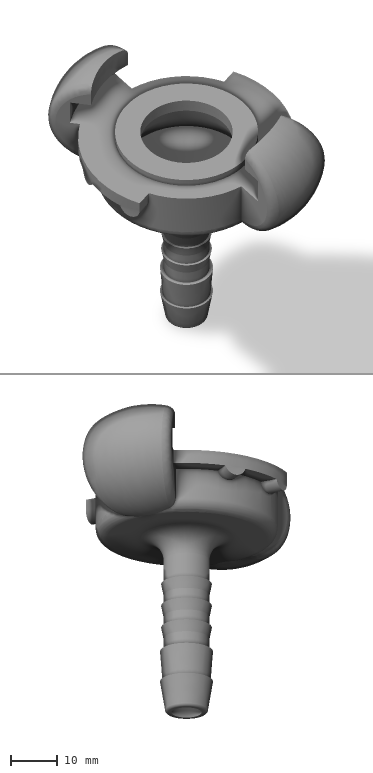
import cadquery as cq
import math

body_radius = 19.7
body_bottom = 39.95
body_top = 52.0
body_bottom_fillet = 2.3
seal_ring_radius = 31.0 / 2
seal_ring_top = 53.7

stem_radius = 5.0
neck_fillet = 5.0
small_barb_radius = 5.5
small_barb_length = 2.55
small_barb_pitch = 5.0
first_barb_top = 29.45
small_barb_count = 3
large_barb_radius = 5.75
large_barb_top = 14.0
large_barb_length = 6.9
large_barb_root_radius = 5.25
tip_radius = 4.65
tip_fillet = 0.65

bore_radius = 3.25
mouth_radius = 20.0 / 2
mouth_bottom = 50.75
chamber_radius = 14.25
chamber_bottom = 42.4
chamber_wall_bulge = 0.45
funnel_bottom = 39.0

flange_radius = 47.0 / 2
flange_thickness = 3.0
lug_radius = 2.5
lug_axis_z = 49.7
lug_spacing = 35.0

overall_width = 62.95
claw_half_angle = 21.2
claw_axis_x = 19.35
claw_axis_z = 51.8
claw_radius = overall_width / 2 - claw_axis_x
claw_crown_radius = 22.4
claw_side_fillet = 1.9
claw_root_radius = 16.0
claw_tip_inner_radius = 21.0
claw_slot_radius = 25.7
claw_slot_top = 57.95
claw_blank_radius = 38.35
claw_blank_half_width = 15.35


def cylinder(radius, bottom, top):
    return cq.Workplane("XY").workplane(offset=bottom).circle(radius).extrude(top - bottom)


def polar(radius, degrees):
    angle = math.radians(degrees)
    return radius * math.cos(angle), radius * math.sin(angle)


def sector(inner_radius, outer_radius, start, end, bottom, top):
    """Part of a ring between two angles in degrees."""
    middle = (start + end) / 2
    return (
        cq.Workplane("XY")
        .workplane(offset=bottom)
        .moveTo(*polar(inner_radius, start))
        .lineTo(*polar(outer_radius, start))
        .threePointArc(polar(outer_radius, middle), polar(outer_radius, end))
        .lineTo(*polar(inner_radius, end))
        .threePointArc(polar(inner_radius, middle), polar(inner_radius, start))
        .close()
        .extrude(top - bottom)
    )


def make_head():
    head = cylinder(body_radius, body_bottom, body_top)
    head = head.faces("<Z").edges().fillet(body_bottom_fillet)
    return head.union(cylinder(seal_ring_radius, body_top, seal_ring_top))


def make_tail():
    """Barbed stem, running into the head through a concave neck."""
    large_barb_bottom = large_barb_top - large_barb_length
    neck_bottom = body_bottom - neck_fillet
    neck_radius = stem_radius + neck_fillet
    mid_offset = neck_fillet * (1 - math.sqrt(0.5))
    profile = (
        cq.Workplane("XZ")
        .moveTo(0, 0)
        .lineTo(tip_radius - tip_fillet, 0)
        .radiusArc((tip_radius, tip_fillet), -tip_fillet)
        .lineTo(large_barb_radius, large_barb_bottom)
        .lineTo(large_barb_root_radius, large_barb_bottom)
        .lineTo(large_barb_radius, large_barb_top)
        .lineTo(stem_radius, large_barb_top)
    )
    for index in reversed(range(small_barb_count)):
        barb_top = first_barb_top - index * small_barb_pitch
        profile = (
            profile.lineTo(stem_radius, barb_top - small_barb_length)
            .lineTo(small_barb_radius, barb_top)
            .lineTo(stem_radius, barb_top)
        )
    return (
        profile.lineTo(stem_radius, neck_bottom)
        .threePointArc((stem_radius + mid_offset, body_bottom - mid_offset), (neck_radius, body_bottom))
        .lineTo(neck_radius, chamber_bottom)
        .lineTo(0, chamber_bottom)
        .close()
        .revolve(360, (0, 0, 0), (0, 1, 0))
    )


def make_passage():
    """Through bore, funnel and undercut seal chamber, as a solid to remove."""
    run = chamber_radius - mouth_radius
    rise = mouth_bottom - chamber_bottom
    slant = math.hypot(run, rise)
    wall_middle = (
        (mouth_radius + chamber_radius) / 2 - chamber_wall_bulge * rise / slant,
        (mouth_bottom + chamber_bottom) / 2 - chamber_wall_bulge * run / slant,
    )
    return (
        cq.Workplane("XZ")
        .moveTo(0, 0)
        .lineTo(bore_radius, 0)
        .lineTo(bore_radius, funnel_bottom)
        .lineTo(chamber_radius, chamber_bottom)
        .threePointArc(wall_middle, (mouth_radius, mouth_bottom))
        .lineTo(mouth_radius, seal_ring_top)
        .lineTo(0, seal_ring_top)
        .close()
        .revolve(360, (0, 0, 0), (0, 1, 0))
    )


def make_flange():
    """Half of the bayonet on the -X, -Y side, with its two radial lugs."""
    inner_blank = claw_root_radius - lug_radius
    outer_blank = flange_radius + lug_radius
    flange = sector(
        inner_blank, outer_blank, -180 + claw_half_angle, -90, body_top - flange_thickness, body_top
    )
    ring = cylinder(flange_radius, body_bottom, body_top).cut(
        cylinder(claw_root_radius, body_bottom, body_top)
    )
    lug = (
        cq.Workplane("XZ")
        .moveTo(-lug_radius, body_top)
        .lineTo(-lug_radius, lug_axis_z)
        .threePointArc((0, lug_axis_z - lug_radius), (lug_radius, lug_axis_z))
        .lineTo(lug_radius, body_top)
        .close()
        .extrude(outer_blank + lug_radius)
    )
    for angle in (0, -lug_spacing):
        flange = flange.union(lug.rotate((0, 0, 0), (0, 0, 1), angle))
    return flange.intersect(ring)


def make_claw():
    """Crowned hook on the +X side."""
    crown_drop = claw_crown_radius - math.sqrt(claw_crown_radius**2 - claw_blank_half_width**2)
    edge_radius = claw_radius - crown_drop
    barrel = (
        cq.Workplane("XY", origin=(claw_axis_x, 0, claw_axis_z))
        .moveTo(0, -claw_blank_half_width)
        .lineTo(edge_radius, -claw_blank_half_width)
        .threePointArc((claw_radius, 0), (edge_radius, claw_blank_half_width))
        .lineTo(0, claw_blank_half_width)
        .close()
        .revolve(360, (0, 0, 0), (0, 1, 0))
    )
    wedge = sector(
        claw_root_radius, claw_blank_radius, -claw_half_angle, claw_half_angle,
        claw_axis_z - claw_blank_radius, claw_axis_z + claw_blank_radius,
    )
    claw = barrel.intersect(wedge)
    side_edges = claw.edges(cq.selectors.BoxSelector(
        (claw_axis_x, -claw_blank_half_width, 0),
        (claw_blank_radius, claw_blank_half_width, 2 * claw_axis_z),
    )).edges("<Y or >Y")
    claw = claw.newObject(side_edges.vals()).fillet(claw_side_fillet)
    claw = claw.cut(cylinder(claw_tip_inner_radius, body_top, claw_axis_z + claw_blank_radius))
    return claw.cut(cylinder(claw_slot_radius, body_top, claw_slot_top))


result = make_head().union(make_tail())
flange = make_flange()
claw = make_claw()
for turn in (0, 180):
    result = result.union(flange.rotate((0, 0, 0), (0, 0, 1), turn))
    result = result.union(claw.rotate((0, 0, 0), (0, 0, 1), turn))
result = result.cut(make_passage())